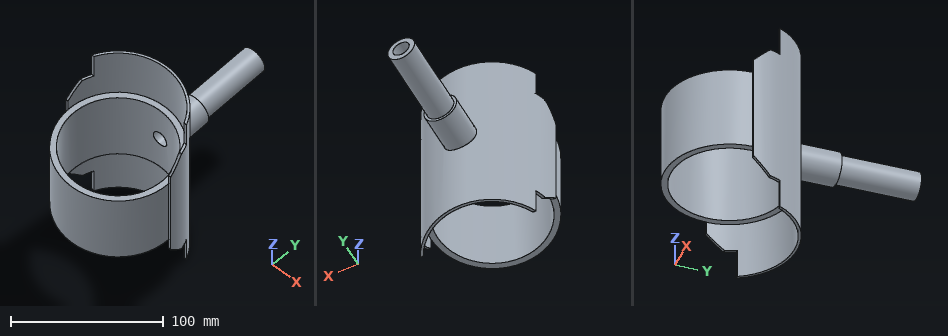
import cadquery as cq

ring_radius = 45.0
ring_bore_radius = 40.5
ring_height = 60.0

saddle_width = 94.0
saddle_radius = saddle_width / 2
saddle_height = 144.0
wing_height = 102.0
wing_back_y = 20.0
wing_chamfer = 12.0

overall_length = 175
stem_end_y = overall_length - ring_radius
stem_radius = 10.0
collar_end_y = 74.0
collar_diameter = 24.0
collar_radius = collar_diameter / 2
stem_bore_radius = 6.0


def z_cylinder(radius, height):
    """Cylinder on the Z axis, centred about Z = 0."""
    return cq.Workplane("XY").workplane(offset=-height / 2).circle(radius).extrude(height)


def y_cylinder(radius, end_y):
    """Cylinder on the Y axis, from the ring centre to end_y."""
    return cq.Workplane("XZ").circle(radius).extrude(-end_y)


def make_saddle():
    """Tube trimmed to its +Y half with stepped, chamfered side wings."""
    half_height = saddle_height / 2
    wing_half = wing_height / 2
    edge_half = wing_half - wing_chamfer
    side_profile = (
        cq.Workplane("YZ")
        .moveTo(0, -edge_half)
        .lineTo(wing_chamfer, -wing_half)
        .lineTo(wing_back_y, -wing_half)
        .lineTo(wing_back_y, -half_height)
        .lineTo(saddle_radius, -half_height)
        .lineTo(saddle_radius, half_height)
        .lineTo(wing_back_y, half_height)
        .lineTo(wing_back_y, wing_half)
        .lineTo(wing_chamfer, wing_half)
        .lineTo(0, edge_half)
        .close()
        .extrude(saddle_radius, both=True)
    )
    tube = z_cylinder(saddle_radius, saddle_height).cut(z_cylinder(ring_radius, saddle_height))
    return tube.intersect(side_profile)


def make_stem():
    """Stepped round stem starting at the outer face of the ring."""
    stem = y_cylinder(stem_radius, stem_end_y).union(y_cylinder(collar_radius, collar_end_y))
    return stem.cut(z_cylinder(ring_radius, saddle_height))


ring = z_cylinder(ring_radius, ring_height).cut(z_cylinder(ring_bore_radius, ring_height))
body = ring.union(make_saddle()).union(make_stem())

result = body.cut(y_cylinder(stem_bore_radius, stem_end_y))